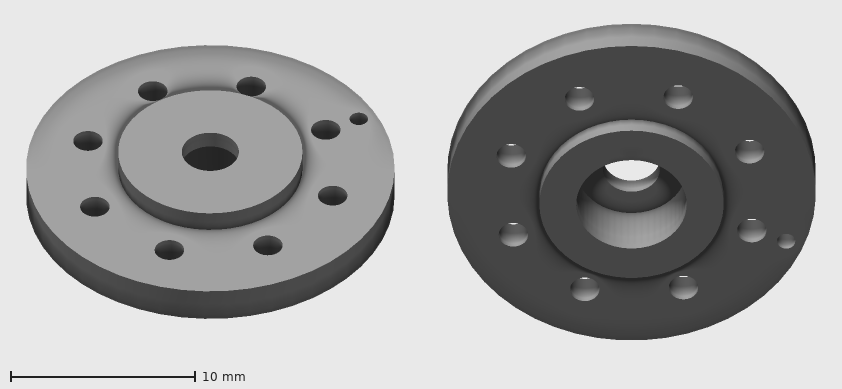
import cadquery as cq

flange_diameter = 20
flange_thickness = 2
hub_diameter = 10
upper_hub_height = 1.2
lower_hub_height = 1

bore_diameter = 3.1
bore_depth = 1
recess_diameter = 6

bolt_hole_count = 8
bolt_hole_diameter = 1.6
bolt_circle_diameter = 14
locating_hole_diameter = 1
locating_hole_radius = 9

total_height = lower_hub_height + flange_thickness + upper_hub_height
recess_depth = total_height - bore_depth


def cylinder(diameter, height, base_z):
    """Solid cylinder on the Z axis, rising from base_z."""
    return cq.Workplane("XY").workplane(offset=base_z).circle(diameter / 2).extrude(height)


hub = cylinder(hub_diameter, total_height, 0)
flange = cylinder(flange_diameter, flange_thickness, lower_hub_height)
body = hub.union(flange)

bore = cylinder(bore_diameter, total_height, 0)
recess = cylinder(recess_diameter, recess_depth, 0)

bolt_holes = (
    cq.Workplane("XY")
    .polarArray(bolt_circle_diameter / 2, 0, 360, bolt_hole_count)
    .circle(bolt_hole_diameter / 2)
    .extrude(total_height)
)
locating_hole = cylinder(locating_hole_diameter, total_height, 0).translate((0, locating_hole_radius, 0))

result = body.cut(bore).cut(recess).cut(bolt_holes).cut(locating_hole)